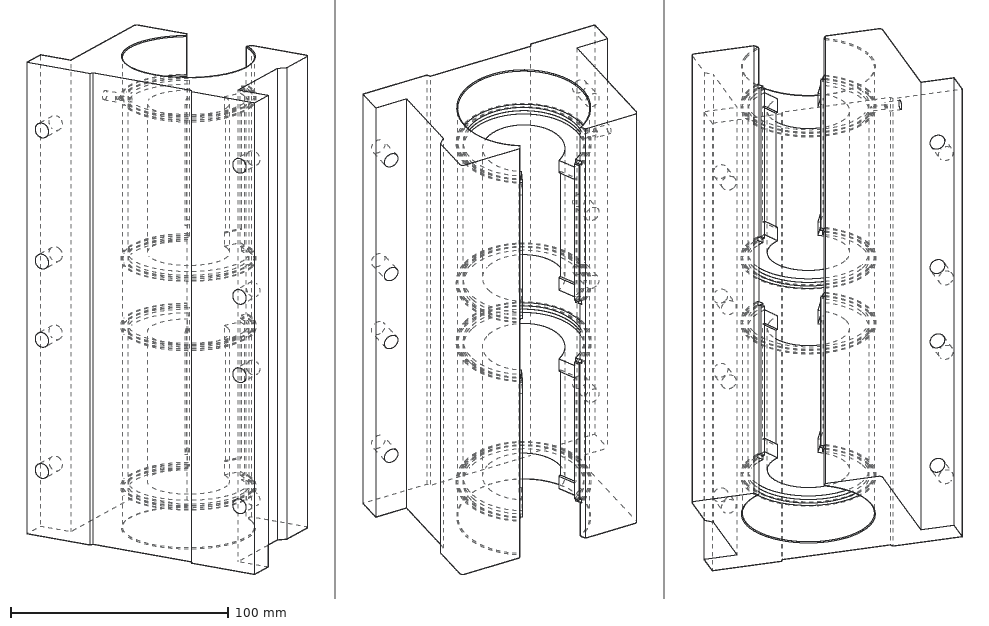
import cadquery as cq
import math

LENGTH = 228.5
BASE_WIDTH = 120.7
HEIGHT = 73.0
FLANGE_THICKNESS = 12.8
LEFT_SIDE_X = -44.3
RIGHT_SIDE_X = 44.3
STEP_OVERHANG = 3.2
STEP_TOP_Y = 52.3
CORNER_RADIUS = 1.5
RELIEF_DEPTH = 1.5
RELIEF_FLOOR_HALF_WIDTH = 26.0
RELIEF_MOUTH_HALF_WIDTH = 27.0

BORE_Y = 44.3
BORE_RADIUS = 30.5
BORE_CHAMFER = 0.5
MOUTH_HALF_ANGLE = 31.0
MOUTH_APEX_DROP = 0.0

HOLE_DIAMETER = 7.0
HOLE_X = 52.3
HOLE_NEAR_Z = 19.0
HOLE_FAR_Z = 82.5

LUBE_Z = 88.2
LUBE_DIAMETER = 2.0
LUBE_COUNTERBORE_DIAMETER = 4.3
LUBE_COUNTERBORE_DEPTH = 6.9

RING_INSET = 19.0
RING_THICKNESS = 1.8
RING_WIDTH = 3.2
RING_INNER_RADIUS = 28.0

BEARING_LENGTH = 76.1
SLEEVE_INNER_RADIUS = 28.0
LINER_INSET = 1.8
SHAFT_RADIUS = 19.0
SLOT_HALF_ANGLE = 25.0
SLOT_APEX_DROP = 4.5
LINER_CAP_THICKNESS = 6.9
RELIEF_APEX_DROP = 7.5

END_Z = LENGTH / 2
SLOT_REACH = 2 * BORE_RADIUS
RING_OUTER_RADIUS = RING_INNER_RADIUS + RING_WIDTH
BEARING_OUTER_Z = END_Z - RING_INSET - RING_THICKNESS
BEARING_MID_Z = BEARING_OUTER_Z - BEARING_LENGTH / 2
RING_OFFSET = (BEARING_LENGTH + RING_THICKNESS) / 2
BEARING_CENTRES = (-BEARING_MID_Z, BEARING_MID_Z)
RING_CENTRES = [z + side * RING_OFFSET for z in BEARING_CENTRES for side in (-1, 1)]


def cylinder(radius, length, middle_z):
    """Cylinder on the bore axis, centred at middle_z."""
    return (
        cq.Workplane("XY", origin=(0, BORE_Y, middle_z - length / 2))
        .circle(radius)
        .extrude(length)
    )


def tube(outer_radius, inner_radius, length, middle_z):
    return cylinder(outer_radius, length, middle_z).cut(cylinder(inner_radius, length, middle_z))


def v_slot(half_angle, apex_drop, length, middle_z):
    """V-shaped cutter opening toward +Y, its apex apex_drop below the bore axis."""
    rise = apex_drop + SLOT_REACH
    half_top = rise * math.tan(math.radians(half_angle))
    return (
        cq.Workplane("XY", origin=(0, BORE_Y - apex_drop, middle_z - length / 2))
        .polyline([(0, 0), (half_top, rise), (-half_top, rise)])
        .close()
        .extrude(length)
    )


def make_housing():
    half_base = BASE_WIDTH / 2
    overhang_x = RIGHT_SIDE_X + STEP_OVERHANG
    outline = [
        (-half_base, 0),
        (-RELIEF_MOUTH_HALF_WIDTH, 0),
        (-RELIEF_FLOOR_HALF_WIDTH, RELIEF_DEPTH),
        (RELIEF_FLOOR_HALF_WIDTH, RELIEF_DEPTH),
        (RELIEF_MOUTH_HALF_WIDTH, 0),
        (half_base, 0),
        (half_base, FLANGE_THICKNESS),
        (RIGHT_SIDE_X, FLANGE_THICKNESS),
        (RIGHT_SIDE_X, STEP_TOP_Y - STEP_OVERHANG),
        (overhang_x, STEP_TOP_Y),
        (overhang_x, HEIGHT),
        (LEFT_SIDE_X, HEIGHT),
        (LEFT_SIDE_X, FLANGE_THICKNESS),
        (-half_base, FLANGE_THICKNESS),
    ]
    body = cq.Workplane("XY", origin=(0, 0, -END_Z)).polyline(outline).close().extrude(LENGTH)
    body = body.edges("|Z and >Y").fillet(CORNER_RADIUS)

    body = body.cut(cylinder(BORE_RADIUS, LENGTH, 0))
    body = body.edges(cq.selectors.RadiusNthSelector(-1)).chamfer(BORE_CHAMFER)

    body = body.cut(v_slot(MOUTH_HALF_ANGLE, MOUTH_APEX_DROP, LENGTH, 0))

    for z in RING_CENTRES:
        body = body.cut(cylinder(RING_OUTER_RADIUS, RING_THICKNESS, z))

    hole_points = [
        (x, z)
        for x in (-HOLE_X, HOLE_X)
        for z in (-HOLE_FAR_Z, -HOLE_NEAR_Z, HOLE_NEAR_Z, HOLE_FAR_Z)
    ]
    holes = (
        cq.Workplane("XZ")
        .pushPoints(hole_points)
        .circle(HOLE_DIAMETER / 2)
        .extrude(-FLANGE_THICKNESS)
    )
    body = body.cut(holes)

    lube_plane = cq.Workplane("YZ", origin=(LEFT_SIDE_X, BORE_Y, LUBE_Z))
    body = body.cut(lube_plane.circle(LUBE_DIAMETER / 2).extrude(-LEFT_SIDE_X))
    return body.cut(lube_plane.circle(LUBE_COUNTERBORE_DIAMETER / 2).extrude(LUBE_COUNTERBORE_DEPTH))


def make_sleeve(z):
    sleeve = tube(BORE_RADIUS, SLEEVE_INNER_RADIUS, BEARING_LENGTH, z)
    return sleeve.cut(v_slot(SLOT_HALF_ANGLE, SLOT_APEX_DROP, BEARING_LENGTH, z))


def make_liner(z):
    length = BEARING_LENGTH - 2 * LINER_INSET
    relief_length = length - 2 * LINER_CAP_THICKNESS
    liner = tube(SLEEVE_INNER_RADIUS, SHAFT_RADIUS, length, z)
    liner = liner.cut(v_slot(SLOT_HALF_ANGLE, SLOT_APEX_DROP, length, z))
    return liner.cut(v_slot(SLOT_HALF_ANGLE, RELIEF_APEX_DROP, relief_length, z))


def make_ring(z):
    ring = tube(RING_OUTER_RADIUS, RING_INNER_RADIUS, RING_THICKNESS, z)
    return ring.cut(v_slot(MOUTH_HALF_ANGLE, MOUTH_APEX_DROP, RING_THICKNESS, z))


housing = make_housing()
sleeves = [make_sleeve(z) for z in BEARING_CENTRES]
liners = [make_liner(z) for z in BEARING_CENTRES]
rings = [make_ring(z) for z in RING_CENTRES]

bodies = [housing, *sleeves, *liners, *rings]
result = cq.Compound.makeCompound([body.val() for body in bodies])